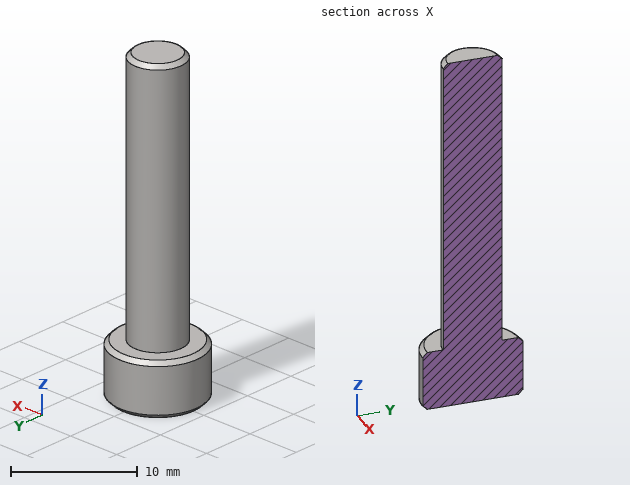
import cadquery as cq

total_length = 30.0
head_diameter = 8.5
head_height = 5.0
shank_diameter = 5.0
edge_chamfer = 0.4

head = cq.Workplane("XY").circle(head_diameter / 2).extrude(head_height)
head = head.faces("<Z or >Z").chamfer(edge_chamfer)

shank_length = total_length - head_height
shank = (
    cq.Workplane("XY")
    .workplane(offset=head_height)
    .circle(shank_diameter / 2)
    .extrude(shank_length)
    .faces(">Z")
    .chamfer(edge_chamfer)
)

result = head.union(shank)